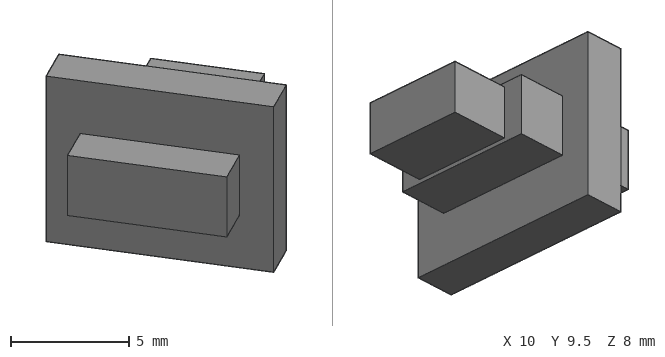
import cadquery as cq

flange_width = 10.0
flange_height = 8.0
flange_depth = 2.0

body_width = 7.0
body_height = 2.9
front_length = 2.0
back_length = 2.5

tail_width = 5.0
tail_height = 2.5
tail_length = 3.0

flange_start = front_length
body_length = front_length + flange_depth + back_length


def centred_block(width, length, height, start):
    """Block centred in X and Z, running along +Y from start."""
    return cq.Workplane("XY").box(width, length, height, centered=(True, False, True)).translate((0, start, 0))


body = centred_block(body_width, body_length, body_height, 0)
flange = centred_block(flange_width, flange_depth, flange_height, flange_start)
tail = centred_block(tail_width, tail_length, tail_height, body_length)

result = body.union(flange).union(tail)